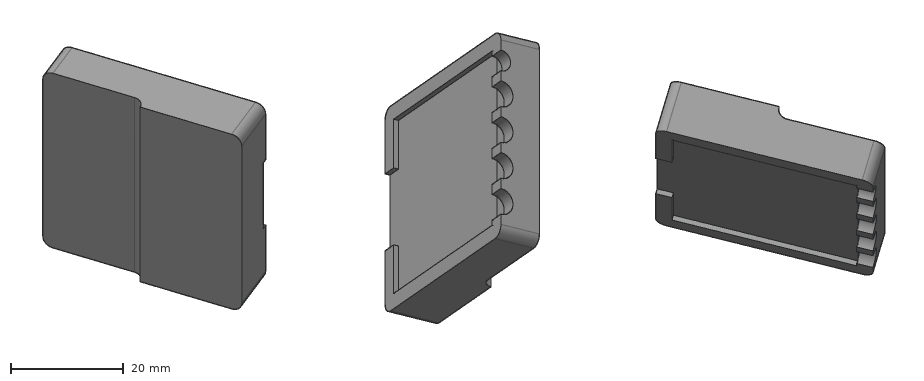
import cadquery as cq

side = 40.0
thickness = 10.0
corner_radius = 2.0

step_depth = 2.0
step_x = side / 2

recess_depth = 1.0
rim_width = 3.0
outlet_width = 15.0

large_groove_radius = 2.5
small_groove_radius = 2.0
large_groove_count = 4
groove_gap = 2.0
groove_pitch = 2 * large_groove_radius + groove_gap
lowest_groove_z = 6.5
highest_large_groove_z = lowest_groove_z + (large_groove_count - 1) * groove_pitch
small_groove_z = highest_large_groove_z + large_groove_radius + groove_gap + small_groove_radius


def make_plate():
    """Square plate with four rounded corners."""
    plate = cq.Workplane("XY").box(side, thickness, side, centered=False)
    return plate.edges("|Y").fillet(corner_radius)


def make_step():
    """Material removed from the front face, left of a concave quarter-round wall."""
    return (
        cq.Workplane("XY")
        .lineTo(step_x, 0)
        .radiusArc((step_x - step_depth, step_depth), -step_depth)
        .lineTo(0, step_depth)
        .close()
        .extrude(side)
    )


def make_recess():
    """Shallow square recess in the rear face, opening through the +X side."""
    floor_y = thickness - recess_depth
    recess_side = side - 2 * rim_width
    outlet_length = side / 2
    pocket = (
        cq.Workplane("XY")
        .box(recess_side, recess_depth, recess_side, centered=False)
        .translate((rim_width, floor_y, rim_width))
    )
    outlet = (
        cq.Workplane("XY")
        .box(outlet_length, recess_depth, outlet_width, centered=False)
        .translate((side - outlet_length, floor_y, (side - outlet_width) / 2))
    )
    return pocket.union(outlet)


def make_groove(center_z, radius):
    """Round cutter along X, centred on the rear face."""
    return cq.Workplane("YZ").center(thickness, center_z).circle(radius).extrude(rim_width)


result = make_plate().cut(make_step()).cut(make_recess())
for groove_index in range(large_groove_count):
    groove_z = lowest_groove_z + groove_index * groove_pitch
    result = result.cut(make_groove(groove_z, large_groove_radius))
result = result.cut(make_groove(small_groove_z, small_groove_radius))